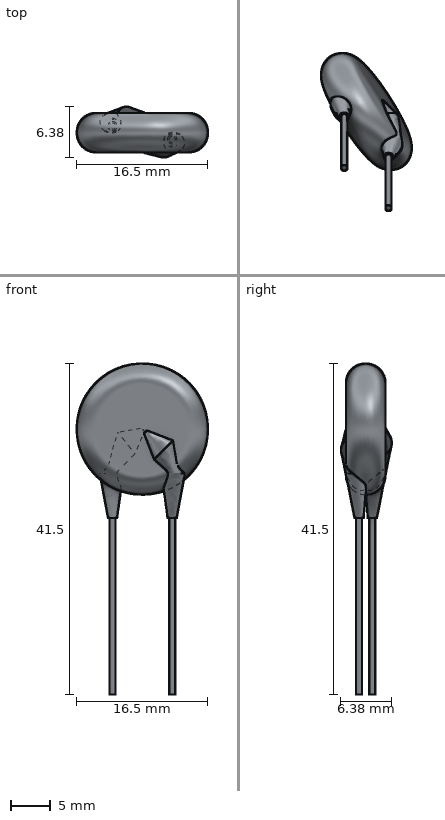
import cadquery as cq
import math

disc_diameter = 16.47
disc_thickness = 4.98
disc_radius = disc_diameter / 2
half_thickness = disc_thickness / 2
flat_radius = disc_radius - half_thickness

total_height = 41.5
lead_diameter = 0.8
lead_offset_x = 3.75
lead_offset_y = 0.85
lead_bottom = disc_radius - total_height
lead_top = -7.45

exit_z = -11.1
exit_radius = 0.6
neck_z = -5.55
neck_x = 3.85
neck_y = 1.15
neck_half_width = 1.5
neck_half_depth = 1.35

front_ridge = (2.65, -2.6)
front_tip = (0.37, -0.35)
front_bump_height = 3.1
rear_ridge = (2.0, -1.75)
rear_tip = (-0.1, -0.1)
rear_bump_height = 3.28
bump_root_y = 2.07
ridge_half_width = 1.83
tip_half_width = 0.45
tip_half_depth = 0.5


def make_disc():
    """Disc with a fully rounded rim."""
    return (
        cq.Workplane("XY")
        .moveTo(0, -half_thickness)
        .lineTo(flat_radius, -half_thickness)
        .threePointArc((disc_radius, 0), (flat_radius, half_thickness))
        .lineTo(0, half_thickness)
        .close()
        .revolve(360, (0, 0, 0), (0, 1, 0))
    )


def ellipse(center, normal, half_width, half_depth):
    """Elliptical section whose width lies in the XZ plane, or along X for a level section."""
    width_direction = cq.Vector(-normal[2], 0, normal[0])
    if width_direction.x < 0:
        width_direction = -width_direction
    return cq.Wire.makeEllipse(
        half_width, half_depth, cq.Vector(*center), cq.Vector(*normal), width_direction
    )


def ruled_body(*sections):
    return cq.Workplane(cq.Solid.makeLoft(list(sections), True))


def make_lead():
    return (
        cq.Workplane("XY", origin=(lead_offset_x, -lead_offset_y, lead_bottom))
        .circle(lead_diameter / 2)
        .extrude(lead_top - lead_bottom)
    )


def make_terminal(ridge, tip, bump_height):
    """Lead, coating cone and bump on the front (-Y) face."""
    up = (0, 0, 1)
    lead_exit = ellipse((lead_offset_x, -lead_offset_y, exit_z), up, exit_radius, exit_radius)
    neck = ellipse((neck_x, -neck_y, neck_z), up, neck_half_width, neck_half_depth)

    run_x = tip[0] - ridge[0]
    run_z = tip[1] - ridge[1]
    run_length = math.hypot(run_x, run_z)
    toward_tip = (run_x / run_length, 0, run_z / run_length)
    ridge_section = ellipse(
        (ridge[0], -bump_root_y, ridge[1]), toward_tip, ridge_half_width, bump_height - bump_root_y
    )
    tip_section = ellipse((tip[0], -bump_root_y, tip[1]), toward_tip, tip_half_width, tip_half_depth)

    cone = ruled_body(lead_exit, neck)
    bump = ruled_body(neck, ridge_section, tip_section)
    return make_lead().union(cone).union(bump)


front_terminal = make_terminal(front_ridge, front_tip, front_bump_height)
rear_terminal = make_terminal(rear_ridge, rear_tip, rear_bump_height).rotate((0, 0, 0), (0, 0, 1), 180)

result = make_disc().union(front_terminal).union(rear_terminal)